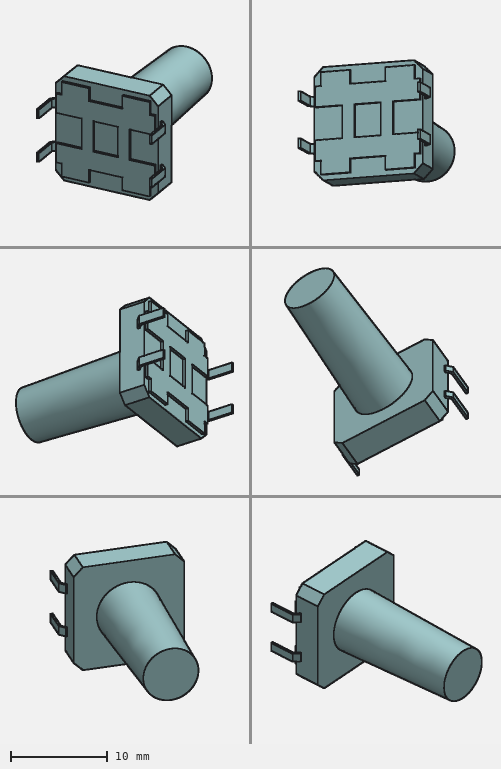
import cadquery as cq
import math


housing_size = 12.0
housing_depth = 3.0
corner_chamfer = 1.0

stem_length = 14.7
stem_base_radius = 3.5
stem_tip_radius = 3.0

plate_thickness = 0.3
band_half_width = 5.75
band_half_height = 3.95
tab_outer_x = 5.15
tab_inner_x = 1.95
tab_half_height = 5.42
window_half_width = 1.45
window_half_height = 1.75
side_notch_inner_x = 2.8

pin_span = 13.45
pin_pitch = 5.0
pin_width = 1.0
pin_thickness = 0.25
pin_length = 2.8
pin_exit_top = 0.75
pin_bend_rise = 0.58
pin_embed = 1.0
pin_bend_angle = 45.0


def rectangle_block(x_min, x_max, z_min, z_max, depth):
    """Block from the plane Y = 0 to Y = depth; a negative depth goes below the housing."""
    return (
        cq.Workplane("XY")
        .box(x_max - x_min, abs(depth), z_max - z_min)
        .translate(((x_min + x_max) / 2, depth / 2, (z_min + z_max) / 2))
    )


def make_housing():
    half = housing_size / 2
    block = rectangle_block(-half, half, -half, half, housing_depth)
    return block.edges("|Y").chamfer(corner_chamfer)


def make_stem():
    """Solid cone frustum standing on the upper face of the housing."""
    frustum = cq.Solid.makeCone(
        stem_base_radius,
        stem_tip_radius,
        stem_length,
        pnt=cq.Vector(0, housing_depth, 0),
        dir=cq.Vector(0, 1, 0),
    )
    return cq.Workplane(obj=frustum)


def make_base_plate():
    """Wide band with four tabs, a centre window and a notch in each side."""
    depth = -plate_thickness
    plate = rectangle_block(-band_half_width, band_half_width, -band_half_height, band_half_height, depth)
    for x_min, x_max in ((-tab_outer_x, -tab_inner_x), (tab_inner_x, tab_outer_x)):
        plate = plate.union(rectangle_block(x_min, x_max, -tab_half_height, tab_half_height, depth))
    for x_min, x_max in (
        (-band_half_width, -side_notch_inner_x),
        (-window_half_width, window_half_width),
        (side_notch_inner_x, band_half_width),
    ):
        plate = plate.cut(rectangle_block(x_min, x_max, -window_half_height, window_half_height, depth))
    return plate


def make_right_pin():
    """Flat strip that leaves the housing along +X and turns down through two 45 degree bends."""
    outer_x = pin_span / 2
    inner_x = outer_x - pin_thickness
    root_x = housing_size / 2 - pin_embed
    bend_x = outer_x - pin_bend_rise
    bend_y = pin_exit_top - pin_bend_rise
    miter = pin_thickness * math.tan(math.radians(pin_bend_angle / 2))
    outline = [
        (root_x, pin_exit_top),
        (bend_x, pin_exit_top),
        (outer_x, bend_y),
        (outer_x, -pin_length),
        (inner_x, -pin_length),
        (inner_x, bend_y - miter),
        (bend_x - miter, pin_exit_top - pin_thickness),
        (root_x, pin_exit_top - pin_thickness),
    ]
    return cq.Workplane("XY").polyline(outline).close().extrude(pin_width / 2, both=True)


result = make_housing().union(make_stem()).union(make_base_plate())

right_pin = make_right_pin()
left_pin = right_pin.mirror("YZ")
for pin_z in (-pin_pitch / 2, pin_pitch / 2):
    for pin in (left_pin, right_pin):
        result = result.union(pin.translate((0, 0, pin_z)))